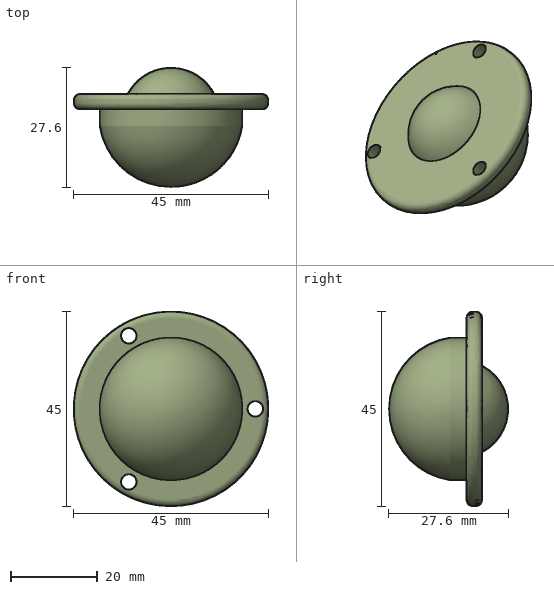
import cadquery as cq
import math

flange_diameter = 45.0
flange_thickness = 3.6
rim_fillet = 1.55

housing_diameter = 33.0
collar_height = 3.8
dome_height = 14.15

ball_radius = 11.25
ball_protrusion = 6.08

hole_diameter = 3.5
hole_circle_radius = 19.5
hole_count = 3

flange_front = -flange_thickness
dome_base = flange_front - collar_height
dome_tip = dome_base - dome_height
ball_center = ball_protrusion - ball_radius


def make_flange():
    """Round flange with both rim edges rounded."""
    disc = cq.Workplane("XZ").circle(flange_diameter / 2).extrude(flange_thickness)
    return disc.edges().fillet(rim_fillet)


def make_housing():
    """Straight collar closed by a spherical cap."""
    radius = housing_diameter / 2
    dome_radius = (radius**2 + dome_height**2) / (2 * dome_height)
    dome_center = dome_tip + dome_radius
    half_angle = math.atan2(radius, dome_center - dome_base) / 2
    arc_middle = (dome_radius * math.sin(half_angle), dome_center - dome_radius * math.cos(half_angle))
    return (
        cq.Workplane("XY")
        .moveTo(0, flange_front)
        .lineTo(radius, flange_front)
        .lineTo(radius, dome_base)
        .threePointArc(arc_middle, (0, dome_tip))
        .close()
        .revolve(360, (0, 0), (0, 1))
    )


def make_ball():
    return cq.Workplane("XY").sphere(ball_radius).translate((0, ball_center, 0))


def make_mounting_holes():
    """Through holes evenly spaced around the flange, the first on +X."""
    return (
        cq.Workplane("XZ")
        .polarArray(hole_circle_radius, 0, 360, hole_count)
        .circle(hole_diameter / 2)
        .extrude(flange_thickness)
    )


result = make_flange().union(make_housing()).union(make_ball()).cut(make_mounting_holes())